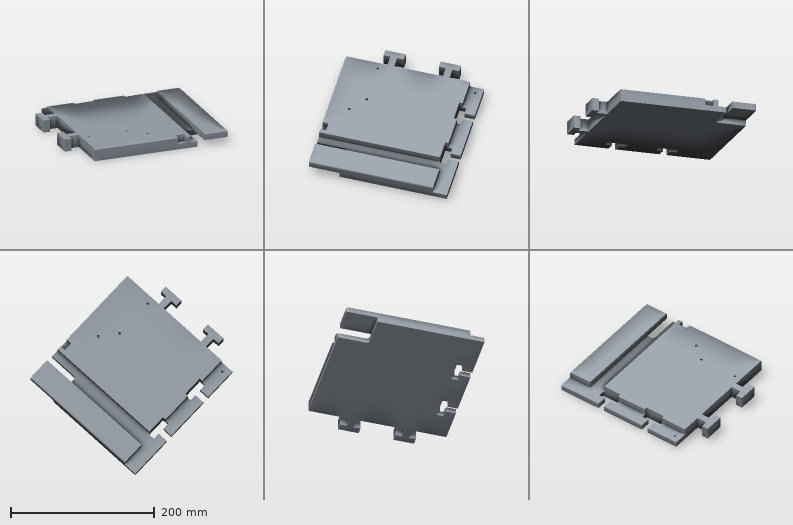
import cadquery as cq

overall_length = 225.0
side = 200.0
height = 18.0
ledge_height = 8.0
ledge_width = 20.2
step_height = height - ledge_height

bar_depth = 34.9
channel_width = 21.4
bar_front = side - bar_depth
channel_front = bar_front - channel_width
edge_radius = 2.0

tee_length = overall_length - side
neck_width = 10.0
head_width = 3 * neck_width
head_depth = 10.0
tab_centers = (55.0, 135.0)
slot_centers = (55.0, 130.5)

window_left = 155.0
window_front = 154.8
window_radius = 4.0

notch_front = 124.9
notch_length = 12.8
notch_width = 8.5
notch_depth = step_height

hole_depth = 5.0
holes = (
    (170.3, 91.8, height, 4.0),
    (151.2, 68.5, height, 4.0),
    (151.2, 10.4, height, 3.5),
    (10.1, 9.7, ledge_height, 3.5),
)


def block(x, y, z, dx, dy, dz):
    """Box placed by its lower front-left corner."""
    return cq.Workplane("XY").box(dx, dy, dz, centered=False).translate((x, y, z))


def tee():
    """T centered on x = 0: neck starts at y = 0, head at the -Y end."""
    neck = block(-neck_width / 2, -tee_length, 0, neck_width, tee_length, height)
    head = block(-head_width / 2, -tee_length, 0, head_width, head_depth, height)
    return neck.union(head)


def raised_block(front, depth):
    """Upper step, reaching from the ledge to the right edge."""
    return block(ledge_width, front, ledge_height, side - ledge_width, depth, step_height)


base = block(0, 0, 0, side, side, ledge_height)
window = block(window_left, window_front, 0, side - window_left, side - window_front, ledge_height)
window = window.edges("|Z and <X and <Y").fillet(window_radius)
base = base.cut(window)

main_area = raised_block(0, channel_front).edges(">X and >Z").fillet(edge_radius)
bar = raised_block(bar_front, bar_depth)
bar = bar.edges("(>X and >Z) or (>Y and >Z) or (>X and >Y)").fillet(edge_radius)
result = base.union(main_area).union(bar)

for center in tab_centers:
    result = result.union(tee().translate((center, 0, 0)))

slot = tee().rotate((0, 0, 0), (0, 0, 1), 90)
for center in slot_centers:
    result = result.cut(slot.translate((0, center, 0)))

notch = block(side - notch_width, notch_front, height - notch_depth, notch_width, notch_length, notch_depth)
result = result.cut(notch)

for x, y, surface, diameter in holes:
    drill = cq.Workplane("XY").circle(diameter / 2).extrude(hole_depth)
    result = result.cut(drill.translate((x, y, surface - hole_depth)))